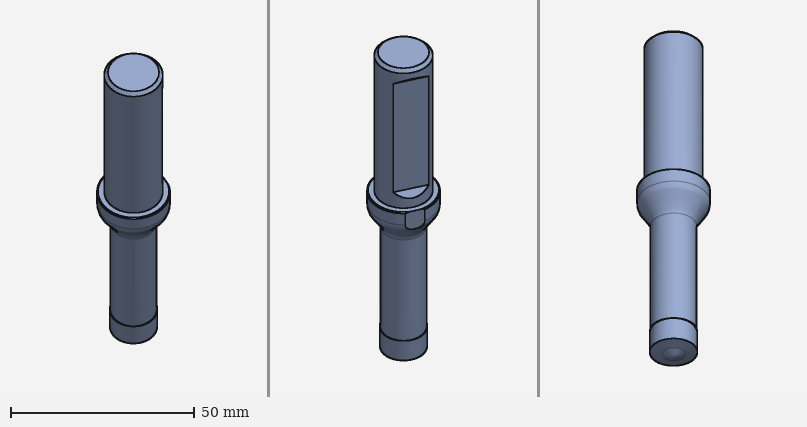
import cadquery as cq

total_height = 104.0
cutting_edge_height = 1.8
point_cone_height = 1.1
head_top = 8.6
neck_top = 43.8
collar_rim_bottom = 51.9
collar_top = 56.1

head_diameter = 13.0
point_cone_diameter = 6.1
neck_diameter = 12.7
collar_diameter = 20.0
shank_diameter = 16.0

blend_lower_diameter = 13.6
blend_lower_height = 45.5
blend_upper_diameter = 18.5
blend_upper_height = 49.2

collar_chamfer = 0.3
collar_flat_offset = 9.6
shank_chamfer = 1.0

clamp_flat_offset = 6.1
clamp_flat_bottom = 61.2
clamp_flat_top = 98.9


def make_drill_head():
    """Solid of revolution with a shallow end face and a steeper centre point."""
    head_radius = head_diameter / 2
    return (
        cq.Workplane("XZ")
        .moveTo(0, 0)
        .lineTo(point_cone_diameter / 2, point_cone_height)
        .lineTo(head_radius, cutting_edge_height)
        .lineTo(head_radius, head_top)
        .lineTo(0, head_top)
        .close()
        .revolve(360, (0, 0, 0), (0, 1, 0))
    )


def make_turned_holder():
    """Neck, collar and shank; one smooth S-curve blends the neck into the collar."""
    neck_radius = neck_diameter / 2
    collar_radius = collar_diameter / 2
    shank_radius = shank_diameter / 2

    blend_points = [
        (blend_lower_diameter / 2, blend_lower_height),
        (blend_upper_diameter / 2, blend_upper_height),
        (collar_radius, collar_rim_bottom),
    ]
    vertical = (0, 1)

    return (
        cq.Workplane("XZ")
        .moveTo(0, head_top)
        .lineTo(neck_radius, head_top)
        .lineTo(neck_radius, neck_top)
        .spline(blend_points, tangents=[vertical, vertical], includeCurrent=True)
        .lineTo(collar_radius, collar_top - collar_chamfer)
        .lineTo(collar_radius - collar_chamfer, collar_top)
        .lineTo(shank_radius, collar_top)
        .lineTo(shank_radius, total_height - shank_chamfer)
        .lineTo(shank_radius - shank_chamfer, total_height)
        .lineTo(0, total_height)
        .close()
        .revolve(360, (0, 0, 0), (0, 1, 0))
    )


def make_clamp_flat_cutter():
    """Trapezoidal prism along X that widens outwards at 45 degrees."""
    depth = shank_diameter / 2 - clamp_flat_offset
    return (
        cq.Workplane("YZ")
        .moveTo(clamp_flat_offset, clamp_flat_bottom)
        .lineTo(clamp_flat_offset + depth, clamp_flat_bottom - depth)
        .lineTo(clamp_flat_offset + depth, clamp_flat_top + depth)
        .lineTo(clamp_flat_offset, clamp_flat_top)
        .close()
        .extrude(shank_diameter / 2, both=True)
    )


def make_collar_flat_cutter():
    """Block that trims the +Y side of the collar."""
    return cq.Workplane("XY").box(
        collar_diameter, collar_diameter, collar_top, centered=(True, False, False)
    ).translate((0, collar_flat_offset, 0))


def make_holder():
    return make_turned_holder().cut(make_clamp_flat_cutter()).cut(make_collar_flat_cutter()).solids()


drill_head = make_drill_head()
holder = make_holder()

result = cq.Compound.makeCompound([drill_head.val(), holder.val()])